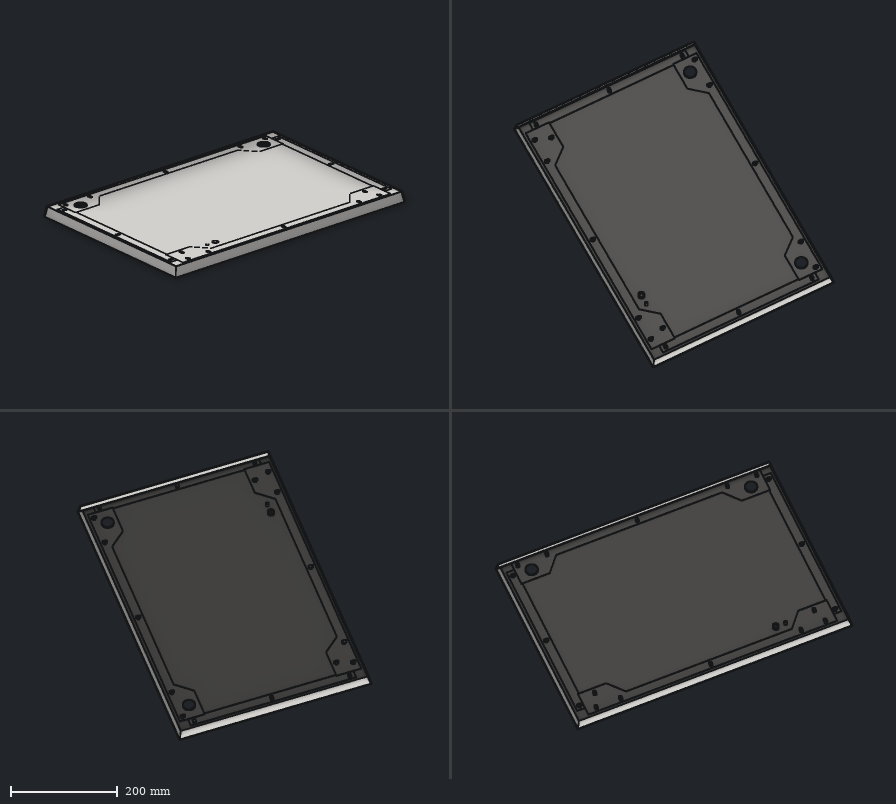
import cadquery as cq
import math

length_x = 384.0
length_y = 564.0
height = 22.0
sheet_thickness = 1.5
draft_angle = math.radians(10.0)

access_hole_x = -152.0
access_hole_y = 225.0
access_hole_diameter = 22.5
rail_hole_diameter = 24.0

bar_thickness = 1.5
bar_width = 18.0
rail_outer_x = 181.0
rail_half_length = 255.0
rail_end_inner_x = 131.5
rail_end_start_y = 197.0
rail_neck_y = 170.0

strip_outer_y = 271.0
strip_half_length = 165.0

stud_diameter = 5.0
stud_height = 6.0
slot_length = 10.0
slot_width = 6.0
rail_stud_y = 185.0
left_end_stud_y = 245.0
right_end_stud_y = 235.0
strip_stud_x = 155.0

corner_pin_x = 142.0
corner_pin_y = access_hole_y

lock_x = 145.0
lock_y = -145.0
sleeve_diameter = 12.0
sleeve_bore = 9.0
stop_pin_diameter = 6.0
stop_pin_spacing = 20.0

top_z = height / 2
inside_z = top_z - sheet_thickness
wall_slope = math.tan(draft_angle)
wall_width = sheet_thickness / math.cos(draft_angle)
rail_inner_x = rail_outer_x - bar_width
rail_center_x = rail_outer_x - bar_width / 2
strip_center_y = strip_outer_y - bar_width / 2

access_holes = [(access_hole_x, end * access_hole_y) for end in (-1, 1)]
corner_pin_places = [(corner_pin_x, end * corner_pin_y) for end in (-1, 1)]


def rail_stud_places(side):
    end_y = left_end_stud_y if side < 0 else right_end_stud_y
    return [(side * rail_center_x, y) for y in (-end_y, -rail_stud_y, 0, rail_stud_y, end_y)]


def strip_stud_places(end):
    return [(x, end * strip_center_y) for x in (-strip_stud_x, 0, strip_stud_x)]


def on_inside(places):
    """Workplane on the underside of the top sheet, with a point at each place."""
    return cq.Workplane("XY").workplane(offset=inside_z).pushPoints(places)


def round_bars(places, diameter, depth=stud_height):
    """Cylinders hanging down from the underside of the top sheet."""
    return on_inside(places).circle(diameter / 2).extrude(-depth)


def bar_slots(places, angle):
    return on_inside(places).slot2D(slot_length, slot_width, angle).extrude(-bar_thickness)


def tapered_block(bottom_inset, upper_z):
    """Block from the bottom of the cover up to upper_z, narrowing with the wall slope."""
    rise = upper_z + top_z
    upper_inset = bottom_inset + rise * wall_slope
    return (
        cq.Workplane("XY")
        .workplane(offset=-top_z)
        .rect(length_x - 2 * bottom_inset, length_y - 2 * bottom_inset)
        .workplane(offset=rise)
        .rect(length_x - 2 * upper_inset, length_y - 2 * upper_inset)
        .loft(ruled=True)
    )


def make_cover():
    stud_places = []
    for side in (-1, 1):
        stud_places += rail_stud_places(side) + strip_stud_places(side)
    holes = on_inside(access_holes).circle(access_hole_diameter / 2).extrude(sheet_thickness)
    tray = tapered_block(0, top_z).cut(tapered_block(wall_width, inside_z))
    return tray.cut(holes).union(round_bars(stud_places, stud_diameter))


def make_rail(side):
    upper_half = [
        (rail_inner_x, rail_neck_y),
        (rail_end_inner_x, rail_end_start_y),
        (rail_end_inner_x, rail_half_length),
        (rail_outer_x, rail_half_length),
    ]
    lower_half = [(x, -y) for x, y in reversed(upper_half)]
    outline = [(side * x, y) for x, y in upper_half + lower_half]
    bar = (
        cq.Workplane("XY")
        .workplane(offset=inside_z)
        .polyline(outline)
        .close()
        .extrude(-bar_thickness)
        .cut(bar_slots(rail_stud_places(side), 0))
    )
    if side < 0:
        return bar.cut(round_bars(access_holes, rail_hole_diameter, bar_thickness))
    return bar.cut(bar_slots(corner_pin_places, 0))


def make_strip(end, rails):
    """End strip, notched where the wide rail ends reach past its inner edge."""
    bar = (
        on_inside([(0, end * strip_center_y)])
        .rect(2 * strip_half_length, bar_width)
        .extrude(-bar_thickness)
        .cut(bar_slots(strip_stud_places(end), 90))
    )
    for rail in rails:
        bar = bar.cut(rail)
    return bar


def make_lock_sleeve():
    place = [(lock_x, lock_y)]
    return round_bars(place, sleeve_diameter).cut(round_bars(place, sleeve_bore))


cover = make_cover()
rails = [make_rail(side) for side in (-1, 1)]
strips = [make_strip(end, rails) for end in (-1, 1)]
corner_pins = [round_bars([place], stud_diameter) for place in corner_pin_places]
lock_sleeve = make_lock_sleeve()
stop_pin = round_bars([(lock_x, lock_y - stop_pin_spacing)], stop_pin_diameter)

bodies = [cover, *rails, *strips, *corner_pins, lock_sleeve, stop_pin]
result = cq.Compound.makeCompound([body.solids().val() for body in bodies])